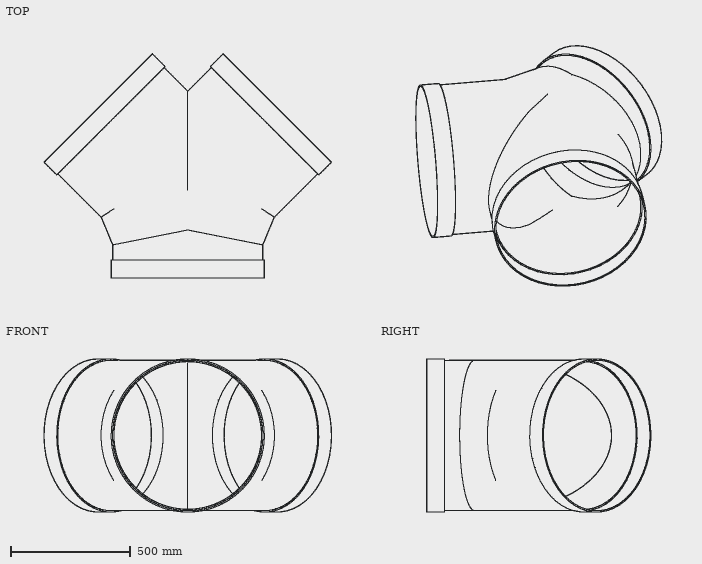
import cadquery as cq
import math

PIPE_OUTER_DIAMETER = 630.0
WALL = 6.0
COLLAR_LENGTH = 76.0
BRANCH_STRAIGHT = 194.0
BRANCH_ANGLE = 45.0
BEND_RADIUS = PIPE_OUTER_DIAMETER

PIPE_OUTER_RADIUS = PIPE_OUTER_DIAMETER / 2
PIPE_INNER_RADIUS = PIPE_OUTER_RADIUS - WALL
COLLAR_OUTER_RADIUS = PIPE_OUTER_RADIUS + WALL

GORE_ANGLE = BRANCH_ANGLE / 2
MITRE_TANGENT = BEND_RADIUS * math.tan(math.radians(GORE_ANGLE / 2))
GORE_LENGTH = 2 * MITRE_TANGENT
BRANCH_PIPE_LENGTH = MITRE_TANGENT + BRANCH_STRAIGHT


def heading(angle):
    """Unit vector in the XY plane, turned from +Y towards -X."""
    turn = math.radians(angle)
    return cq.Vector(-math.sin(turn), math.cos(turn), 0)


STEM_END = cq.Vector(0, COLLAR_LENGTH, 0)
STEM_MITRE = STEM_END + heading(0) * MITRE_TANGENT
BRANCH_MITRE = STEM_MITRE + heading(GORE_ANGLE) * GORE_LENGTH
BRANCH_END = BRANCH_MITRE + heading(BRANCH_ANGLE) * BRANCH_PIPE_LENGTH

TRIM_SIZE = 4 * PIPE_OUTER_DIAMETER


def forked_rod(radius):
    """Solid stem, bends and branches, with the two sides meeting at the middle plane."""
    axis = cq.Workplane("XY").polyline(
        [point.toTuple() for point in (STEM_END, STEM_MITRE, BRANCH_MITRE, BRANCH_END)]
    )
    start = cq.Plane(origin=STEM_END, xDir=(1, 0, 0), normal=heading(0))
    left_rod = cq.Workplane(start).circle(radius).sweep(axis, transition="right")
    left_side = cq.Workplane("XY").box(TRIM_SIZE, TRIM_SIZE, TRIM_SIZE).translate((-TRIM_SIZE / 2, 0, 0))
    left_half = left_rod.intersect(left_side)
    return left_half.union(left_half.mirror("YZ"))


def below_mitres():
    """Roof-shaped block on the stem side of both stem mitre planes."""
    mitre_drop = TRIM_SIZE * math.tan(math.radians(GORE_ANGLE / 2))
    return (
        cq.Workplane("XY")
        .moveTo(0, STEM_MITRE.y)
        .lineTo(TRIM_SIZE, STEM_MITRE.y - mitre_drop)
        .lineTo(TRIM_SIZE, -TRIM_SIZE)
        .lineTo(-TRIM_SIZE, -TRIM_SIZE)
        .lineTo(-TRIM_SIZE, STEM_MITRE.y - mitre_drop)
        .close()
        .extrude(TRIM_SIZE / 2, both=True)
    )


def make_stem():
    """Straight pipe whose upper end is cut to a ridge by the two mitre planes."""
    start = cq.Plane(origin=STEM_END, xDir=(1, 0, 0), normal=heading(0))
    tube = (
        cq.Workplane(start)
        .circle(PIPE_OUTER_RADIUS)
        .circle(PIPE_INNER_RADIUS)
        .extrude(STEM_MITRE.y - STEM_END.y)
    )
    return tube.intersect(below_mitres())


def make_fork():
    """Hollow piece with both bends and branches, above the stem mitres."""
    return forked_rod(PIPE_OUTER_RADIUS).cut(forked_rod(PIPE_INNER_RADIUS)).cut(below_mitres())


def make_collar(pipe_end, outward):
    """Ring that starts at the pipe end and runs outward along the pipe axis."""
    base = cq.Plane(origin=pipe_end, xDir=(0, 0, 1), normal=outward)
    return cq.Workplane(base).circle(COLLAR_OUTER_RADIUS).circle(PIPE_OUTER_RADIUS).extrude(COLLAR_LENGTH)


def mirrored(vector):
    """Vector reflected in the middle plane X = 0."""
    return cq.Vector(-vector.x, vector.y, vector.z)


stem = make_stem()
fork = make_fork()

branch_heading = heading(BRANCH_ANGLE)
collar_places = [
    (STEM_END, -heading(0)),
    (BRANCH_END, branch_heading),
    (mirrored(BRANCH_END), mirrored(branch_heading)),
]
collars = [make_collar(pipe_end, outward) for pipe_end, outward in collar_places]

result = cq.Compound.makeCompound(
    [stem.solids().val(), fork.solids().val(), *[collar.val() for collar in collars]]
)